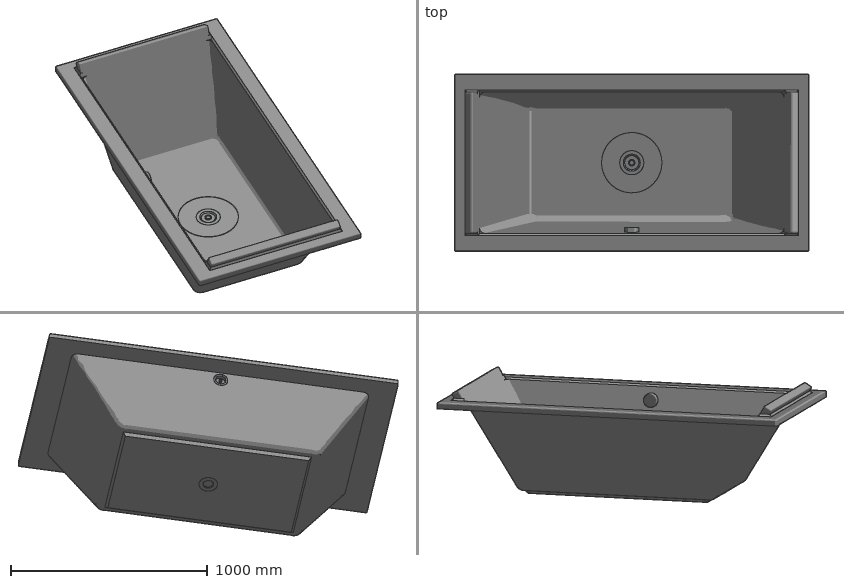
import cadquery as cq
import math

RIM_LENGTH = 1800.0
RIM_WIDTH = 900.0
RIM_HEIGHT = 32.0
RIM_ROUND = 8.1

SHELL = 7.0
END_SLOPE = 30.0
MOUTH_HALF_LENGTH = 778.0
MOUTH_HALF_WIDTH = 360.0
FLOOR_HALF_WIDTH = 297.0
FLOOR_Z = -457.0
FLOOR_ROUND = 40.0
CORNER_ROUND_MOUTH = 25.0
CORNER_ROUND_FLOOR = 40.0
MOUTH_CHAMFER = 9.0
END_TAN = math.tan(math.radians(END_SLOPE))
SIDE_TAN = (MOUTH_HALF_WIDTH - FLOOR_HALF_WIDTH) / -FLOOR_Z
SIDE_SLOPE = math.degrees(math.atan(SIDE_TAN))
UNDERSIDE_Z = FLOOR_Z - SHELL

PAD_HALF_LENGTH = 486.0
PAD_HALF_WIDTH = 263.0
PAD_HEIGHT = 16.0
PAD_INSET = 13.0
PAD_BOTTOM_Z = UNDERSIDE_Z - PAD_HEIGHT

HEADREST_TOP = 52.0
HEADREST_THICKNESS = 47.0
HEADREST_ROUND = 9.0
FOOT_SPREAD = 9.0
FOOT_HEIGHT = 10.0

SUMP_DIAMETER = 306.0
SUMP_DEPTH = 2.0
SUMP_Z = FLOOR_Z - SUMP_DEPTH
FLANGE_DIAMETER = 122.0
FLANGE_THICKNESS = 7.0
NECK_DIAMETER = 94.0
SEAT_DIAMETER = 86.0
SEAT_DEPTH = 5.0
PLUG_DIAMETER = 72.0
PLUG_THICKNESS = 7.0
OUTLET_DIAMETER = 52.0
KNOB_DIAMETER = 32.0
KNOB_HEIGHT = 4.0
DIMPLE_DIAMETER = 23.0
DIMPLE_DEPTH = 2.0

OVERFLOW_Z = -77.0
OVERFLOW_DIAMETER = 72.0
OVERFLOW_FACE_Y = -330.0
OVERFLOW_FACE_ROUND = 4.0
OVERFLOW_BORE = 52.0
OVERFLOW_BORE_Y = -342.0
OVERFLOW_STEM = 14.5
OVERFLOW_STEM_HOLE = 9.2


def frustum(z_top, half_length_top, half_width_top, z_bottom, half_length_bottom, half_width_bottom):
    """Solid with a rectangular top and bottom and flat sloping sides."""
    return (
        cq.Workplane("XY", origin=(0, 0, z_bottom))
        .rect(2 * half_length_bottom, 2 * half_width_bottom)
        .workplane(offset=z_top - z_bottom)
        .rect(2 * half_length_top, 2 * half_width_top)
        .loft(ruled=True)
    )


def is_straight(edge):
    return math.isclose(edge.Length(), (edge.endPoint() - edge.startPoint()).Length, rel_tol=1e-6)


def flat_walled(block):
    """The same solid with true planes for its straight-edged walls, so that they merge with flush neighbours."""
    faces = []
    for face in block.faces().vals():
        if all(is_straight(edge) for edge in face.Edges()):
            corners = [corner.Center() for corner in face.outerWire().Vertices()]
            face = cq.Face.makeFromWires(cq.Wire.makePolygon(corners, close=True))
        faces.append(face)
    return cq.Workplane(cq.Solid.makeSolid(cq.Shell.makeShell(faces)))


def basin_block(offset, z_top):
    """The basin's inner shape, grown by `offset` square to its walls and floor."""
    end_growth = offset / math.cos(math.radians(END_SLOPE))
    side_growth = offset / math.cos(math.radians(SIDE_SLOPE))
    z_bottom = FLOOR_Z - offset

    def half_length(z):
        return MOUTH_HALF_LENGTH + end_growth + END_TAN * z

    def half_width(z):
        return MOUTH_HALF_WIDTH + side_growth + SIDE_TAN * z

    def outline(z, corner_round):
        return cq.Sketch().rect(2 * half_length(z), 2 * half_width(z)).vertices().fillet(corner_round + offset)

    floor_outline = outline(z_bottom, CORNER_ROUND_FLOOR)
    top_outline = outline(z_top, CORNER_ROUND_MOUTH).moved(cq.Location(cq.Vector(0, 0, z_top - z_bottom)))
    block = cq.Workplane("XY", origin=(0, 0, z_bottom)).placeSketch(floor_outline, top_outline).loft(ruled=True)
    return flat_walled(block).faces("<Z").edges().fillet(FLOOR_ROUND + offset)


def rim_slab():
    slab = cq.Workplane("XY").box(RIM_LENGTH, RIM_WIDTH, RIM_HEIGHT, centered=(True, True, False))
    slab = slab.translate((0, 0, -RIM_HEIGHT))
    return slab.edges("|Z").fillet(RIM_ROUND).faces(">Z").edges().fillet(RIM_ROUND)


def headrest():
    """The bar at the -X end, with a spread foot on the rim."""
    sin_slope = math.sin(math.radians(END_SLOPE))
    cos_slope = math.cos(math.radians(END_SLOPE))
    tip_z = HEADREST_TOP + HEADREST_ROUND * (sin_slope + cos_slope - 1)
    tip_x = -MOUTH_HALF_LENGTH - END_TAN * tip_z
    back_x = tip_x - HEADREST_THICKNESS * cos_slope
    back_z = tip_z - HEADREST_THICKNESS * sin_slope

    def back_face_x(z):
        return back_x + END_TAN * (back_z - z)

    bar = (
        cq.Workplane("XZ", origin=(0, MOUTH_HALF_WIDTH, 0))
        .moveTo(tip_x, tip_z)
        .lineTo(back_x, back_z)
        .lineTo(back_face_x(0), 0)
        .lineTo(-MOUTH_HALF_LENGTH, 0)
        .close()
        .extrude(2 * MOUTH_HALF_WIDTH)
        .edges("not(<Z)")
        .fillet(HEADREST_ROUND)
    )

    def foot_section(z, spread):
        back = back_face_x(FOOT_HEIGHT) - spread
        front = -MOUTH_HALF_LENGTH - END_TAN * z
        return (
            cq.Sketch()
            .rect(front - back, 2 * (MOUTH_HALF_WIDTH + spread))
            .moved(cq.Location(cq.Vector((front + back) / 2, 0, z)))
        )

    foot = (
        cq.Workplane("XY")
        .placeSketch(foot_section(0, FOOT_SPREAD), foot_section(FOOT_HEIGHT, 0))
        .loft(ruled=True)
    )
    return bar.union(foot)


def mouth_chamfer():
    """Wedges that break the mouth's two long edges."""
    wedge = (
        cq.Workplane("YZ", origin=(-MOUTH_HALF_LENGTH, 0, 0))
        .moveTo(MOUTH_HALF_WIDTH + MOUTH_CHAMFER, 0)
        .lineTo(0, 0)
        .lineTo(0, -MOUTH_CHAMFER)
        .lineTo(MOUTH_HALF_WIDTH - SIDE_TAN * MOUTH_CHAMFER, -MOUTH_CHAMFER)
        .close()
        .extrude(2 * MOUTH_HALF_LENGTH)
    )
    wedge = wedge.intersect(
        frustum(0, MOUTH_HALF_LENGTH, RIM_WIDTH, -RIM_HEIGHT,
                MOUTH_HALF_LENGTH - END_TAN * RIM_HEIGHT, RIM_WIDTH)
    )
    return wedge.union(wedge.mirror("XZ"))


def overflow_rod(diameter, inner_y):
    """Cylinder along Y at the overflow, from `inner_y` out past the wall."""
    rod = cq.Workplane("XZ", origin=(0, inner_y, OVERFLOW_Z)).circle(diameter / 2)
    return rod.extrude(inner_y + RIM_WIDTH / 2)


def disc(diameter, z_top, z_bottom):
    return cq.Workplane("XY", origin=(0, 0, z_bottom)).circle(diameter / 2).extrude(z_top - z_bottom)


def drain_envelope():
    """Outer shape of the drain, which is also the hole it fills."""
    flange = disc(FLANGE_DIAMETER, SUMP_Z, SUMP_Z - FLANGE_THICKNESS)
    return flange.union(disc(NECK_DIAMETER, SUMP_Z, PAD_BOTTOM_Z))


def make_tub():
    pad = frustum(
        UNDERSIDE_Z, PAD_HALF_LENGTH, PAD_HALF_WIDTH,
        PAD_BOTTOM_Z, PAD_HALF_LENGTH - PAD_INSET, PAD_HALF_WIDTH - PAD_INSET,
    )
    rest = headrest()
    tub = rim_slab().union(basin_block(SHELL, -RIM_HEIGHT / 2)).union(pad)
    tub = tub.union(rest).union(rest.mirror("YZ"))
    tub = tub.cut(basin_block(0, 0)).cut(mouth_chamfer())
    tub = tub.cut(disc(SUMP_DIAMETER, FLOOR_Z, SUMP_Z)).cut(drain_envelope())
    return tub.cut(overflow_rod(OVERFLOW_DIAMETER, OVERFLOW_FACE_Y)).clean()


def make_drain():
    seat = (
        cq.Workplane("XY", origin=(0, 0, SUMP_Z - SEAT_DEPTH))
        .circle(PLUG_DIAMETER / 2)
        .workplane(offset=SEAT_DEPTH)
        .circle(SEAT_DIAMETER / 2)
        .loft()
    )
    pocket = disc(PLUG_DIAMETER, SUMP_Z, SUMP_Z - SEAT_DEPTH - PLUG_THICKNESS)
    outlet = disc(OUTLET_DIAMETER, SUMP_Z, PAD_BOTTOM_Z)
    return drain_envelope().cut(seat).cut(pocket).cut(outlet)


def make_plug():
    top = SUMP_Z - SEAT_DEPTH
    body = disc(PLUG_DIAMETER, top, top - PLUG_THICKNESS)
    knob = disc(KNOB_DIAMETER, top + KNOB_HEIGHT, top)
    dimple = disc(DIMPLE_DIAMETER, top + KNOB_HEIGHT, top + KNOB_HEIGHT - DIMPLE_DEPTH)
    return body.union(knob).cut(dimple)


def make_overflow():
    body = overflow_rod(OVERFLOW_DIAMETER, OVERFLOW_FACE_Y).faces(">Y").edges().fillet(OVERFLOW_FACE_ROUND)
    bore = overflow_rod(OVERFLOW_BORE, OVERFLOW_BORE_Y)
    stem = overflow_rod(OVERFLOW_STEM, OVERFLOW_BORE_Y).cut(overflow_rod(OVERFLOW_STEM_HOLE, OVERFLOW_BORE_Y))
    return body.cut(bore.cut(stem)).intersect(basin_block(SHELL, 0))


tub = make_tub()
drain = make_drain()
plug = make_plug()
overflow = make_overflow()

result = cq.Compound.makeCompound([tub.val(), drain.val(), plug.val(), overflow.val()])